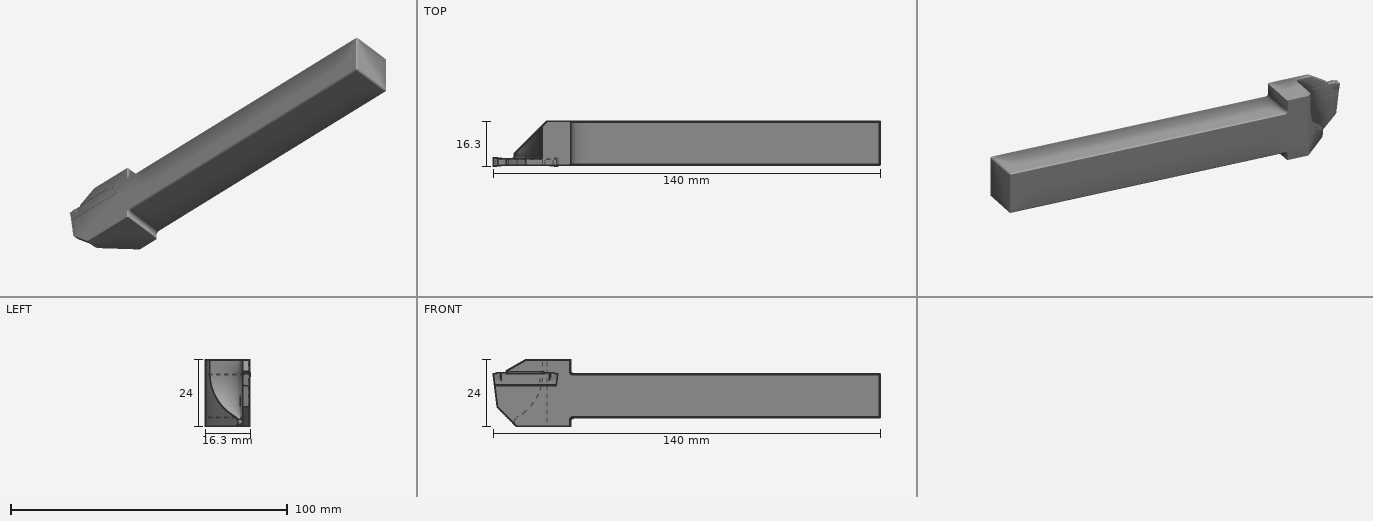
import cadquery as cq
import math


overall_length = 140.0
shank_size = 16.0
head_rear_x = 28.0
head_top_z = 5.0
head_bottom_z = -19.0
root_radius = 1.0
edge_chamfer = 0.4

jaw_front_x = 4.7
jaw_nose_z = 0.95
jaw_slope_angle = 30.0
nose_bottom_z = -12.0
relief_angle = 7.0

blade_thickness = 2.42
wall_radius = 17.8
wall_end_x = 8.6
wall_front_x = 7.7
wall_fillet = 0.85
side_slope_start_x = 19.45
clearance = 1.0

insert_length = 23.3
insert_width = 3.0
insert_top_z = 0.4
insert_bottom_z = -4.3
edge_land_length = 0.3
chip_groove_length = 1.4
cutting_head_length = 2.5
neck_x = 3.0
head_side_relief = 0.1
head_depth = 2.3
rail_top_z = 0.8
rail_shoulder_z = 0.0
rail_end_x = 5.5
rail_slope_length = 0.8
keel_shoulder_z = -3.9
rail_inset = 0.15

blade_mid_y = blade_thickness / 2
insert_mid_x = insert_length / 2


def front_x(z):
    """X of the relieved front face at height z."""
    return -z * math.tan(math.radians(relief_angle))


def prism(points, y_start, y_end):
    """XZ outline extruded from y_start to y_end."""
    plane = cq.Workplane("XZ", origin=(0, y_start, 0))
    return plane.polyline(points).close().extrude(y_start - y_end)


def both_ends(body):
    """Body together with its mirror image at the other end of the insert."""
    return body.union(body.mirror("YZ", (insert_mid_x, 0, 0)))


def insert_side(y_start, y_end):
    """Side outline of the insert, with a concave chip groove behind each cutting edge."""
    groove_radius = (chip_groove_length**2 + insert_top_z**2) / (2 * insert_top_z)
    half_turn = math.asin(chip_groove_length / groove_radius) / 2
    groove_middle = (
        edge_land_length + groove_radius * math.sin(half_turn),
        groove_radius * (1 - math.cos(half_turn)),
    )
    half = (
        cq.Workplane("XZ", origin=(0, y_start, 0))
        .moveTo(0, 0)
        .lineTo(edge_land_length, 0)
        .threePointArc(groove_middle, (edge_land_length + chip_groove_length, insert_top_z))
        .lineTo(rail_end_x - rail_slope_length, insert_top_z)
        .lineTo(rail_end_x, rail_top_z)
        .lineTo(insert_mid_x, rail_top_z)
        .lineTo(insert_mid_x, insert_bottom_z)
        .lineTo(front_x(insert_bottom_z), insert_bottom_z)
        .close()
        .extrude(y_start - y_end)
    )
    return both_ends(half)


def cutting_head():
    """Wide block at the tip, narrowing rearwards and downwards to the body width."""
    half_width = insert_width / 2
    side_half_width = half_width - head_side_relief
    half_plan = [(0, half_width), (cutting_head_length, side_half_width), (neck_x, blade_mid_y)]
    plan_points = half_plan + [(x, -y) for x, y in reversed(half_plan)]
    plan = (
        cq.Workplane("XY", origin=(0, blade_mid_y, insert_top_z))
        .polyline(plan_points)
        .close()
        .extrude(-head_depth - insert_top_z)
    )
    section = (
        cq.Workplane("YZ", origin=(0, blade_mid_y, 0))
        .polyline([
            (-half_width, insert_top_z),
            (half_width, insert_top_z),
            (half_width, 0),
            (blade_mid_y, -head_depth),
            (-blade_mid_y, -head_depth),
            (-half_width, 0),
        ])
        .close()
        .extrude(neck_x)
    )
    side = insert_side(blade_mid_y - half_width, blade_mid_y + half_width)
    return plan.intersect(section).intersect(side)


def side_grooves():
    """Shallow grooves that leave a narrower rail on top and keel below, on both faces."""
    rail = [
        (jaw_front_x, rail_shoulder_z),
        (jaw_front_x, rail_top_z),
        (insert_length - jaw_front_x, rail_top_z),
        (insert_length - jaw_front_x, rail_shoulder_z),
    ]
    keel = [
        (0, keel_shoulder_z),
        (insert_length, keel_shoulder_z),
        (insert_length, insert_bottom_z),
        (0, insert_bottom_z),
    ]
    grooves = cq.Workplane("XZ")
    for y_start in (0, blade_thickness - rail_inset):
        for outline in (rail, keel):
            grooves = grooves.add(prism(outline, y_start, y_start + rail_inset))
    return grooves.combine()


insert_blank = insert_side(0, blade_thickness).union(both_ends(cutting_head()))
insert = insert_blank.cut(side_grooves())


def holder_blank():
    """Full-width head and shank, with filleted roots and chamfered edges."""
    nose_bottom_x = front_x(nose_bottom_z)
    slope_rise = head_top_z - jaw_nose_z
    slope_run = slope_rise / math.tan(math.radians(jaw_slope_angle))
    corner_drop = nose_bottom_z - head_bottom_z
    outline = [
        (jaw_front_x, insert_bottom_z),
        (jaw_front_x, jaw_nose_z),
        (jaw_front_x + slope_run, head_top_z),
        (head_rear_x, head_top_z),
        (head_rear_x, 0),
        (overall_length, 0),
        (overall_length, -shank_size),
        (head_rear_x, -shank_size),
        (head_rear_x, head_bottom_z),
        (nose_bottom_x + corner_drop, head_bottom_z),
        (nose_bottom_x, nose_bottom_z),
        (front_x(insert_bottom_z), insert_bottom_z),
    ]
    blank = prism(outline, 0, shank_size)
    margin = 0.1
    roots = cq.selectors.BoxSelector(
        (head_rear_x - margin, 0, -shank_size - margin),
        (head_rear_x + margin, shank_size, margin),
    )
    blank = blank.edges(roots).edges("|Y").fillet(root_radius)
    shank_box = cq.selectors.BoxSelector(
        (head_rear_x + root_radius + margin, -margin, -shank_size - margin),
        (overall_length + margin, shank_size + margin, margin),
    )
    return blank.edges(shank_box).chamfer(edge_chamfer)


def side_cut():
    """Space behind the blade, bounded by the clearance wall and rounded at its foot."""
    wall_end_z = -math.sqrt(wall_radius**2 - wall_end_x**2)
    wall_foot_z = wall_end_z - (wall_end_x - wall_front_x)
    middle_angle = math.asin(wall_end_z / wall_radius) / 2
    middle = (wall_radius * math.cos(middle_angle), wall_radius * math.sin(middle_angle))
    clear_top_z = head_top_z + clearance
    clear_bottom_z = head_bottom_z - clearance
    space = (
        cq.Workplane("XZ", origin=(0, blade_thickness, 0))
        .moveTo(wall_radius, clear_top_z)
        .lineTo(wall_radius, 0)
        .threePointArc(middle, (wall_end_x, wall_end_z))
        .lineTo(wall_front_x, wall_foot_z)
        .lineTo(wall_front_x, clear_bottom_z)
        .lineTo(-clearance, clear_bottom_z)
        .lineTo(-clearance, clear_top_z)
        .close()
        .extrude(blade_thickness - shank_size - wall_fillet)
    )
    return space.faces("<Y").edges().fillet(wall_fillet)


def corner_cut():
    """45 degree cut across the front corner at the back of the head."""
    blade_side_x = side_slope_start_x - (shank_size - blade_thickness)
    return (
        cq.Workplane("XY", origin=(0, 0, head_bottom_z))
        .polyline([
            (blade_side_x, blade_thickness),
            (side_slope_start_x, shank_size),
            (-clearance, shank_size),
            (-clearance, blade_thickness),
        ])
        .close()
        .extrude(head_top_z - head_bottom_z)
    )


holder = holder_blank().cut(side_cut()).cut(corner_cut()).cut(insert_blank)

result = cq.Compound.makeCompound([holder.solids().val(), insert.solids().val()])